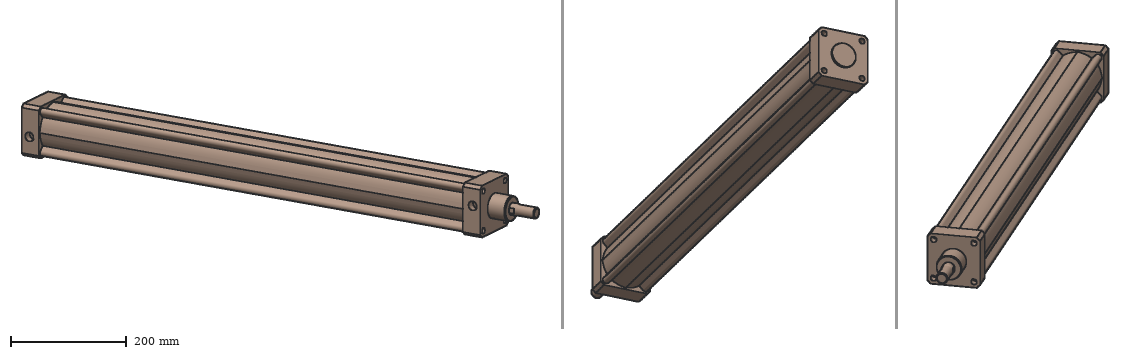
import cadquery as cq
import math


overall_length = 1018.0
rear_boss_length = 4.0
cap_length = 35.0
front_boss_length = 36.0
rod_exposed_length = 50.0
thread_length = 36.0
flats_length = 10.0

cap_size = 94.0
cap_corner_chamfer = 6.0
boss_diameter = 45.0
boss_chamfer_length = 2.5
boss_chamfer_depth = 1.0
screw_spacing = 72.0
screw_hole_diameter = 10.0
screw_hole_depth = 16.0
port_diameter = 16.5
port_depth = 15.0
port_offset = 9.5
port_inset = 15.5

barrel_radius = 43.2
ridge_slope = 13.0
ear_radius = 6.2
ear_spacing = 74.6

rod_diameter = 22.0
thread_diameter = 20.0
thread_chamfer = 1.5
shoulder_cone_length = 4.0
flat_width = 20.0

rear_boss_face = -overall_length / 2
rear_cap_start = rear_boss_face + rear_boss_length
barrel_start = rear_cap_start + cap_length
rod_tip = overall_length / 2
front_boss_face = rod_tip - rod_exposed_length
front_cap_end = front_boss_face - front_boss_length
barrel_end = front_cap_end - cap_length
thread_start = rod_tip - thread_length


def plane_at(x):
    """Cross-section plane at station x, with local axes along Y and Z."""
    return cq.Workplane("YZ", origin=(x, 0, 0))


def cap_block(start):
    block = plane_at(start).rect(cap_size, cap_size).extrude(cap_length)
    return block.edges("|X").chamfer(cap_corner_chamfer)


def screw_holes(start):
    corners = plane_at(start).rect(screw_spacing, screw_spacing, forConstruction=True).vertices()
    return corners.circle(screw_hole_diameter / 2).extrude(screw_hole_depth)


def port_hole(x, height):
    """Blind round port in the -Y side of a cap."""
    face = cq.Workplane("XZ", origin=(x, -cap_size / 2, height))
    return face.circle(port_diameter / 2).extrude(-port_depth)


def make_rear_cap():
    boss = plane_at(rear_boss_face).circle(boss_diameter / 2).extrude(rear_boss_length)
    cap = cap_block(rear_cap_start).union(boss)
    cap = cap.cut(screw_holes(rear_cap_start))
    return cap.cut(port_hole(rear_cap_start + port_inset, -port_offset))


def make_front_cap():
    boss = plane_at(front_cap_end).circle(boss_diameter / 2).extrude(front_boss_length)
    boss = boss.faces(">X").edges().chamfer(boss_chamfer_length, boss_chamfer_depth)
    rod_bore = plane_at(barrel_end).circle(rod_diameter / 2).extrude(front_boss_face - barrel_end)
    cap = cap_block(barrel_end).union(boss).cut(rod_bore)
    cap = cap.cut(screw_holes(front_cap_end - screw_hole_depth))
    return cap.cut(port_hole(front_cap_end - port_inset, port_offset))


def make_barrel():
    length = barrel_end - barrel_start
    barrel = plane_at(barrel_start).circle(barrel_radius).extrude(length)

    slope = math.radians(ridge_slope)
    ridge_height = barrel_radius / math.cos(slope)
    edge_offset = barrel_radius * math.sin(slope)
    edge_height = barrel_radius * math.cos(slope)
    ridge_points = [(0, 0), (edge_offset, edge_height), (0, ridge_height), (-edge_offset, edge_height)]
    ridge = plane_at(barrel_start).polyline(ridge_points).close().extrude(length)

    reach = ear_spacing / math.sqrt(2)
    web = plane_at(barrel_start).center(reach / 2, 0).rect(reach, 2 * ear_radius).extrude(length)
    tip = plane_at(barrel_start).center(reach, 0).circle(ear_radius).extrude(length)
    ear = web.union(tip)

    for side in range(4):
        ridge_angle = 90 * side
        ear_angle = ridge_angle + 45
        barrel = barrel.union(ridge.rotate((0, 0, 0), (1, 0, 0), ridge_angle))
        barrel = barrel.union(ear.rotate((0, 0, 0), (1, 0, 0), ear_angle))
    return barrel


def make_rod():
    rod_radius = rod_diameter / 2
    thread_radius = thread_diameter / 2
    half_profile = [
        (barrel_end, 0),
        (barrel_end, rod_radius),
        (thread_start - shoulder_cone_length, rod_radius),
        (thread_start, thread_radius),
        (rod_tip - thread_chamfer, thread_radius),
        (rod_tip, thread_radius - thread_chamfer),
        (rod_tip, 0),
    ]
    rod = cq.Workplane("XY").polyline(half_profile).close().revolve(360, (0, 0), (1, 0))

    flats_band = plane_at(front_boss_face).rect(rod_diameter, rod_diameter).extrude(flats_length)
    flats_core = plane_at(front_boss_face).rect(flat_width, rod_diameter).extrude(flats_length)
    return rod.cut(flats_band.cut(flats_core))


rear_cap = make_rear_cap()
barrel = make_barrel()
front_cap = make_front_cap()
piston_rod = make_rod()

result = cq.Compound.makeCompound([rear_cap.val(), barrel.val(), front_cap.val(), piston_rod.val()])